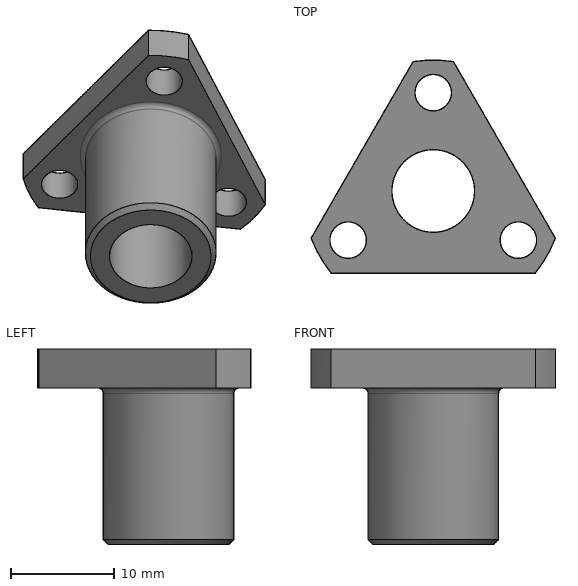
import cadquery as cq
import math

flange_width = 23.72
flange_corner_radius = 12.71
flange_thickness = 3.82
total_height = 19.0
barrel_diameter = 12.7
bore_diameter = 8.0
screw_hole_diameter = 3.5
screw_hole_radius = 9.54
barrel_chamfer = 0.5
neck_fillet = 0.5
corner_count = 3
flat_normal_angle = 30

lower_corner_angle = math.degrees(math.acos(flange_width / 2 / flange_corner_radius))
flat_distance = flange_corner_radius * math.cos(math.radians(lower_corner_angle + flat_normal_angle))
triangle_circumradius = 2 * flat_distance

barrel_radius = barrel_diameter / 2
barrel_length = total_height - flange_thickness


def corner_points(radius):
    """Points towards the three corners, the first one on +Y."""
    angles = [math.radians(90 + i * 360 / corner_count) for i in range(corner_count)]
    return [(radius * math.cos(a), radius * math.sin(a)) for a in angles]


def make_flange():
    """Triangular plate on top of the barrel, with its corners cut by a circle."""
    base = cq.Workplane("XY").workplane(offset=barrel_length)
    triangle = base.polyline(corner_points(triangle_circumradius)).close().extrude(flange_thickness)
    disc = base.circle(flange_corner_radius).extrude(flange_thickness)
    return triangle.intersect(disc)


def make_barrel():
    """Revolved barrel with a chamfered foot and a fillet flaring into the flange."""
    neck_z = barrel_length - neck_fillet
    arc_offset = neck_fillet * (1 - math.sqrt(0.5))
    return (
        cq.Workplane("XZ")
        .lineTo(barrel_radius - barrel_chamfer, 0)
        .lineTo(barrel_radius, barrel_chamfer)
        .lineTo(barrel_radius, neck_z)
        .threePointArc(
            (barrel_radius + arc_offset, barrel_length - arc_offset),
            (barrel_radius + neck_fillet, barrel_length),
        )
        .lineTo(0, barrel_length)
        .close()
        .revolve(360, (0, 0), (0, 1))
    )


def make_holes():
    """Central bore and the three screw holes, all running right through."""
    bore = cq.Workplane("XY").circle(bore_diameter / 2).extrude(total_height)
    screw_holes = (
        cq.Workplane("XY")
        .workplane(offset=barrel_length)
        .pushPoints(corner_points(screw_hole_radius))
        .circle(screw_hole_diameter / 2)
        .extrude(flange_thickness)
    )
    return bore.union(screw_holes)


result = make_flange().union(make_barrel()).cut(make_holes())